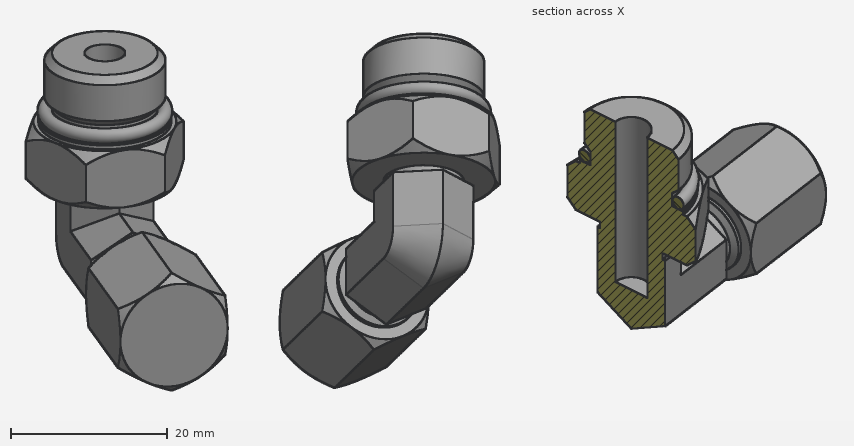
import cadquery as cq
import math

CORNER_RATIO = 1 / math.cos(math.radians(30))

elbow_flats = 11.1
elbow_corner = elbow_flats / 2 * CORNER_RATIO
elbow_top = 7.5
arm_end = 12.45

locknut_flats = 18.25
locknut_bottom = 8.45
locknut_height = 8.03
locknut_top = locknut_bottom + locknut_height
lower_neck_radius = 5.15
washer_radius = 8.5

ring_thickness = 1.9
ring_outer_radius = 8.63
washer_height = 0.5
ring_bottom = locknut_top + washer_height
ring_center_radius = ring_outer_radius - ring_thickness / 2
groove_radius = ring_outer_radius - ring_thickness

stud_radius = 7.75
stud_top = 26.13
stud_top_chamfer = 1.0
groove_taper = stud_radius - groove_radius
stud_bottom = 20.1
bore_radius = 2.6

nut_flats = 14.3
nut_length = 15.35
nut_end = 39.95 - locknut_flats / 2
nut_start = nut_end - nut_length
arm_neck_radius = 4.6
collar_radius = 5.55
collar_length = 1.08
collar_cone_slope = 30


def hex_bar(plane, flats, length):
    """Hexagonal bar with two corners on the local X axis."""
    return cq.Workplane(plane).polygon(6, flats * CORNER_RATIO).extrude(length)


def chamfered_hex(plane, flats, length):
    """Hexagonal nut whose corners are turned off at 45 degrees down to the flats at both ends."""
    corner_radius = flats / 2 * CORNER_RATIO
    turned_blank = cq.Workplane(plane).circle(corner_radius).extrude(length)
    turned_blank = turned_blank.edges("%CIRCLE").chamfer(corner_radius - flats / 2)
    return hex_bar(plane, flats, length).intersect(turned_blank)


def arm_plane(x):
    """Plane across the arm, with its local X axis along Z."""
    return cq.Plane(origin=(x, 0, 0), xDir=(0, 0, 1), normal=(1, 0, 0))


def level_plane(z, x_dir=(1, 0, 0)):
    """Horizontal plane at height z."""
    return cq.Plane(origin=(0, 0, z), xDir=x_dir, normal=(0, 0, 1))


def make_elbow_block():
    """Two hexagonal legs joined by a hexagonal section swept around the outer corner."""
    upright_leg = hex_bar(level_plane(0), elbow_flats, elbow_top)
    arm_leg = hex_bar(arm_plane(0), elbow_flats, arm_end)
    half_hexagon = [
        (0, -elbow_flats / 2),
        (-elbow_corner / 2, -elbow_flats / 2),
        (-elbow_corner, 0),
        (-elbow_corner / 2, elbow_flats / 2),
        (0, elbow_flats / 2),
    ]
    outer_corner = (
        cq.Workplane("XY").polyline(half_hexagon).close().revolve(90, (0, 0, 0), (0, -1, 0))
    )
    return upright_leg.union(arm_leg).union(outer_corner)


def make_stud():
    """Turned stud with its lower neck, washer face, ring groove and chamfered top."""
    profile = [
        (0, elbow_top),
        (lower_neck_radius, elbow_top),
        (lower_neck_radius, locknut_top),
        (washer_radius, locknut_top),
        (washer_radius, ring_bottom),
        (groove_radius, ring_bottom),
        (groove_radius, stud_bottom - groove_taper),
        (stud_radius, stud_bottom),
        (stud_radius, stud_top - stud_top_chamfer),
        (stud_radius - stud_top_chamfer, stud_top),
        (0, stud_top),
    ]
    return cq.Workplane("XZ").polyline(profile).close().revolve(360, (0, 0, 0), (0, 1, 0))


def make_arm_neck():
    """Round neck that widens through a cone into the collar ahead of the union nut."""
    collar_start = nut_start - collar_length
    cone_length = (collar_radius - arm_neck_radius) * math.tan(math.radians(collar_cone_slope))
    profile = [
        (arm_end, 0),
        (arm_end, arm_neck_radius),
        (collar_start, arm_neck_radius),
        (collar_start + cone_length, collar_radius),
        (nut_start, collar_radius),
        (nut_start, 0),
    ]
    return cq.Workplane("XZ").polyline(profile).close().revolve(360, (0, 0, 0), (1, 0, 0))


def make_fitting():
    locknut = chamfered_hex(level_plane(locknut_bottom, (0, 1, 0)), locknut_flats, locknut_height)
    union_nut = chamfered_hex(arm_plane(nut_start), nut_flats, nut_length)
    bore = cq.Workplane(level_plane(0)).circle(bore_radius).extrude(stud_top)
    fitting = make_elbow_block().union(make_stud()).union(locknut)
    return fitting.union(make_arm_neck()).union(union_nut).cut(bore)


def make_sealing_ring():
    return (
        cq.Workplane("XZ")
        .center(ring_center_radius, ring_bottom + ring_thickness / 2)
        .circle(ring_thickness / 2)
        .revolve(360, (-ring_center_radius, 0, 0), (-ring_center_radius, 1, 0))
    )


fitting = make_fitting()
sealing_ring = make_sealing_ring()
result = cq.Compound.makeCompound([fitting.solids().val(), sealing_ring.val()])